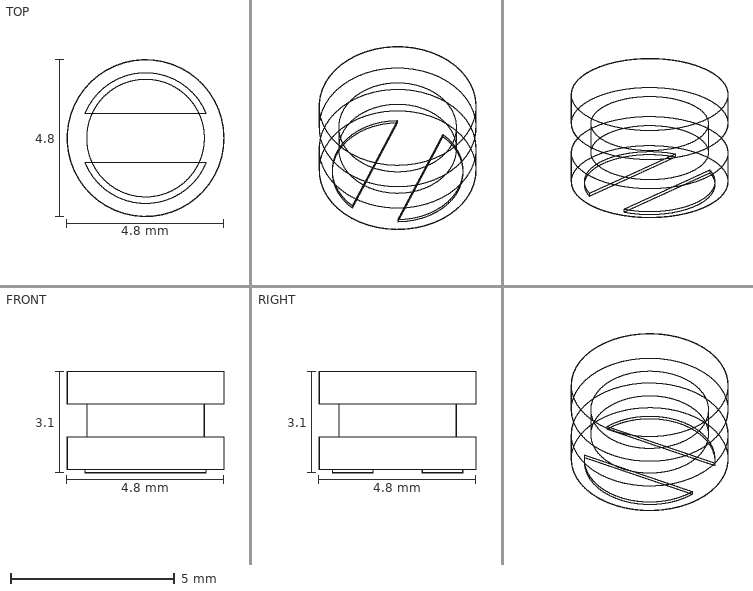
import cadquery as cq

disc_diameter = 4.8
core_diameter = 3.6
total_height = 3.1

pad_circle_diameter = 4.0
pad_gap = 1.5
pad_thickness = 0.1

layer_height = (total_height - pad_thickness) / 3


def make_cylinder(diameter, bottom_z):
    """One layer of the spool, standing on bottom_z."""
    return cq.Workplane("XY").workplane(offset=bottom_z).circle(diameter / 2).extrude(layer_height)


def make_pad(side):
    """Circular segment below the lower disc, on the +Y (side=1) or -Y (side=-1) half."""
    radius = pad_circle_diameter / 2
    edge_y = pad_gap / 2
    half_chord = (radius**2 - edge_y**2) ** 0.5
    return (
        cq.Workplane("XY")
        .moveTo(-half_chord, side * edge_y)
        .threePointArc((0, side * radius), (half_chord, side * edge_y))
        .close()
        .extrude(-pad_thickness)
    )


discs = [make_cylinder(disc_diameter, bottom_z) for bottom_z in (0, 2 * layer_height)]
core = make_cylinder(core_diameter, layer_height)
pads = [make_pad(side) for side in (-1, 1)]

result = cq.Compound.makeCompound(
    [
        *[disc.val() for disc in discs],
        core.val(),
        *[pad.val() for pad in pads],
    ]
)